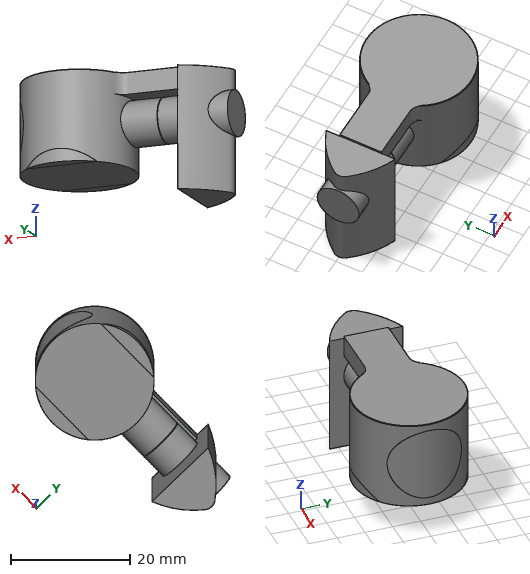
import cadquery as cq
import math

overall_length = 38.55
barrel_radius = 10.0
barrel_height = 16.0
top_z = 21.98
barrel_bottom_z = top_z - barrel_height
rim_chamfer = 0.1

arm_width = 8.0
arm_thickness = 3.8
arm_fillet = 2.3

grip_height = 21.6
grip_back_x = -20.6
grip_nose_x = -28.23
grip_half_width = 6.6
nose_end_x = -27.8
nose_half_width = 1.2
side_mid_x = -24.6
side_mid_y = 4.35

rod_radius = 3.99
rod_axis_z = 14.0
rod_start_x = barrel_radius - overall_length
rod_joint_x = -15.9
joint_gap = 0.1
rod_end_x = 0.0

plug_radius = 6.67
plug_inner_x = 4.63
wedge_height = 2.3


def rod_along_x(radius, start_x, end_x):
    """Cylinder on the rod axis between two X positions."""
    rod = cq.Workplane("YZ", origin=(start_x, 0, rod_axis_z))
    return rod.circle(radius).extrude(end_x - start_x)


def make_barrel_blank():
    """Plain cylinder that the barrel and its flush inserts are cut from."""
    blank = cq.Workplane("XY", origin=(0, 0, barrel_bottom_z))
    return blank.circle(barrel_radius).extrude(barrel_height)


def make_arm():
    """Flat arm that flares into the barrel through a fillet on each side."""
    half_width = arm_width / 2
    fillet_y = half_width + arm_fillet
    center_distance = barrel_radius + arm_fillet
    fillet_x = -math.sqrt(center_distance**2 - fillet_y**2)
    touch_x = fillet_x * barrel_radius / center_distance
    touch_y = fillet_y * barrel_radius / center_distance
    touch_angle = math.atan2(-fillet_y, -fillet_x)
    mid_angle = (touch_angle - math.pi / 2) / 2
    mid_x = fillet_x + arm_fillet * math.cos(mid_angle)
    mid_y = fillet_y + arm_fillet * math.sin(mid_angle)
    return (
        cq.Workplane("XY", origin=(0, 0, top_z - arm_thickness))
        .moveTo(grip_back_x, -half_width)
        .lineTo(fillet_x, -half_width)
        .threePointArc((mid_x, -mid_y), (touch_x, -touch_y))
        .lineTo(touch_x, touch_y)
        .threePointArc((mid_x, mid_y), (fillet_x, half_width))
        .lineTo(grip_back_x, half_width)
        .close()
        .extrude(arm_thickness)
    )


def make_rod(start_x, end_x):
    """One length of the round rod."""
    return rod_along_x(rod_radius, start_x, end_x)


def make_grip():
    """Upright grip with a rounded nose, two bowed sides and a hole for the rod."""
    grip = (
        cq.Workplane("XY")
        .moveTo(grip_back_x, -grip_half_width)
        .lineTo(grip_back_x, grip_half_width)
        .threePointArc((side_mid_x, side_mid_y), (nose_end_x, nose_half_width))
        .threePointArc((grip_nose_x, 0), (nose_end_x, -nose_half_width))
        .threePointArc((side_mid_x, -side_mid_y), (grip_back_x, -grip_half_width))
        .close()
        .extrude(grip_height)
    )
    return grip.cut(rod_along_x(rod_radius, rod_start_x, rod_joint_x))


def make_plug():
    """Round plug on the rod axis, its outer end flush with the barrel wall."""
    return rod_along_x(plug_radius, plug_inner_x, barrel_radius).intersect(make_barrel_blank())


def make_wedge(side):
    """Insert in the bottom corner of the barrel, seated on a 45 degree plane."""
    outer_y = side * barrel_radius
    inner_y = side * (barrel_radius - wedge_height)
    corner = (
        cq.Workplane("YZ", origin=(-barrel_radius, 0, 0))
        .moveTo(inner_y, barrel_bottom_z)
        .lineTo(outer_y, barrel_bottom_z)
        .lineTo(outer_y, barrel_bottom_z + wedge_height)
        .close()
        .extrude(2 * barrel_radius)
    )
    return corner.intersect(make_barrel_blank())


def make_housing(inserts):
    """Barrel and arm in one piece, with a fitting recess for each insert."""
    housing = make_barrel_blank().faces(">Z").chamfer(rim_chamfer).union(make_arm())
    for insert in inserts:
        housing = housing.cut(insert)
    return housing


front_rod = make_rod(rod_start_x, rod_joint_x)
rear_rod = make_rod(rod_joint_x + joint_gap, rod_end_x)
grip = make_grip()
plug = make_plug()
wedges = [make_wedge(side) for side in (-1, 1)]
housing = make_housing([rear_rod, plug, *wedges])

result = cq.Compound.makeCompound([
    housing.val(),
    grip.val(),
    front_rod.val(),
    rear_rod.val(),
    plug.val(),
    *[wedge.val() for wedge in wedges],
])